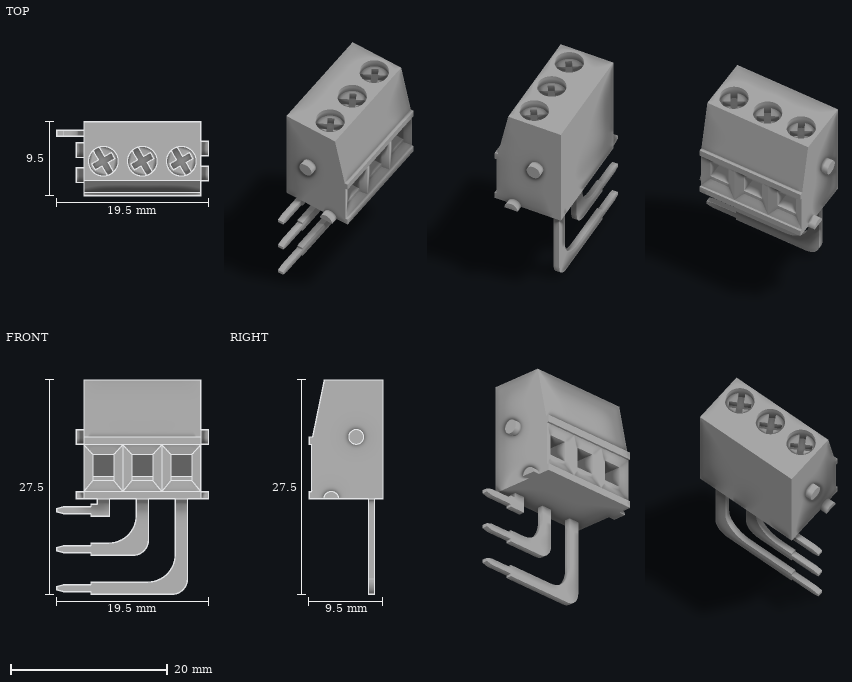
import cadquery as cq


pole_count = 3
pitch = 5.0
body_width = pole_count * pitch
body_height = 15.25
body_depth = 9.5
top_depth = 7.55
slope_foot_depth = 9.05
recess_depth = 9.2
lower_lip_top = 0.95
upper_lip_bottom = 6.95
upper_lip_top = 7.95

entry_width = 2.7
entry_bottom = 2.35
entry_top = 5.7
funnel_depth = 0.5
chamber_floor = 2.9
chamber_depth = 5.0

screw_diameter = 3.8
screw_center_depth = 5.07
screw_head_recess = 1.2
slot_width = 0.9
slot_depth = 1.0
cross_slot_length = 2.9
long_slot_angle = 120.0

peg_diameter = 1.9
peg_length = 1.0
upper_peg_height = 7.95
left_upper_peg_depth = 3.65
peg_depth_spacing = 3.2
right_peg_offset = 0.2

pin_thickness = 0.8
pin_center_depth = 1.48
pin_width = 1.6
pin_reach = 3.5
first_pin_height = -1.45
shoulder_inset = 0.9
tip_width = 0.9
tip_end_width = 0.45
tip_taper_length = 0.9
inner_bend_radius = 3.5
outer_bend_radius = 2.0

left_face = -body_width / 2
right_face = body_width / 2
pole_centers = [(i - (pole_count - 1) / 2) * pitch for i in range(pole_count)]


def make_housing():
    """Side profile with a sloping upper front and two lips, extruded over the full width."""
    profile = [
        (0, 0),
        (-body_depth, 0),
        (-body_depth, lower_lip_top),
        (-recess_depth, lower_lip_top),
        (-recess_depth, upper_lip_bottom),
        (-body_depth, upper_lip_bottom),
        (-body_depth, upper_lip_top),
        (-slope_foot_depth, upper_lip_top),
        (-top_depth, body_height),
        (0, body_height),
    ]
    side = cq.Workplane("YZ", origin=(left_face, 0, 0))
    return side.polyline(profile).close().extrude(body_width)


def front_plane(x, z, depth):
    """Workplane facing forward (-Y), centred at x and z, at a depth from the back face."""
    plane = cq.Plane(origin=(x, -depth, z), xDir=(1, 0, 0), normal=(0, -1, 0))
    return cq.Workplane(plane)


def make_wire_entry(x):
    """Tapered funnel leading to a chamber with a raised floor."""
    mouth_height = upper_lip_bottom - lower_lip_top
    mouth_z = (upper_lip_bottom + lower_lip_top) / 2
    entry_height = entry_top - entry_bottom
    entry_z = (entry_top + entry_bottom) / 2
    chamber_height = entry_top - chamber_floor
    chamber_z = (entry_top + chamber_floor) / 2
    chamber_start = recess_depth - funnel_depth

    funnel = (
        front_plane(x, mouth_z, recess_depth)
        .rect(pitch, mouth_height)
        .workplane(offset=-funnel_depth)
        .center(0, entry_z - mouth_z)
        .rect(entry_width, entry_height)
        .loft(ruled=True)
    )
    chamber_front = front_plane(x, chamber_z, chamber_start).rect(entry_width, chamber_height)
    chamber = chamber_front.extrude(-chamber_depth)
    return funnel.union(chamber)


def screw_plane(x):
    """Horizontal workplane on the top face of one screw head."""
    return cq.Workplane("XY", origin=(x, -screw_center_depth, body_height - screw_head_recess))


def make_screw_bore(x):
    """Round bore from the top face down to the screw head."""
    return screw_plane(x).circle(screw_diameter / 2).extrude(screw_head_recess)


def make_screw_slots(x):
    """Slot across the whole screw head, crossed by a shorter slot."""
    plane = screw_plane(x).transformed(rotate=(0, 0, long_slot_angle))
    head = plane.circle(screw_diameter / 2).extrude(-slot_depth)
    long_slot = plane.rect(2 * screw_diameter, slot_width).extrude(-slot_depth).intersect(head)
    cross_slot = plane.rect(slot_width, cross_slot_length).extrude(-slot_depth)
    return long_slot.union(cross_slot)


def make_pegs(start_x, upper_peg_depth):
    """A round upper peg and a half-round lower peg that is flush with the underside."""
    lower_peg_depth = upper_peg_depth + peg_depth_spacing
    side = cq.Workplane("YZ", origin=(start_x, 0, 0))
    radius = peg_diameter / 2
    upper = side.center(-upper_peg_depth, upper_peg_height).circle(radius).extrude(peg_length)
    lower = (
        side.moveTo(-lower_peg_depth - radius, 0)
        .threePointArc((-lower_peg_depth, radius), (-lower_peg_depth + radius, 0))
        .close()
        .extrude(peg_length)
    )
    return upper.union(lower)


def make_pin(index):
    """Flat right-angle pin with a shouldered, tapered tip; all but the first have a rounded bend."""
    z = first_pin_height - index * pitch
    inner_x = pole_centers[index] - pin_width / 2
    outer_x = pole_centers[index] + pin_width / 2
    top_z = z + pin_width / 2
    bottom_z = z - pin_width / 2
    shoulder_x = left_face + shoulder_inset
    tip_x = left_face - pin_reach
    taper_x = tip_x + tip_taper_length
    outline = [
        (inner_x, 0),
        (inner_x, top_z),
        (shoulder_x, top_z),
        (shoulder_x, z + tip_width / 2),
        (taper_x, z + tip_width / 2),
        (tip_x, z + tip_end_width / 2),
        (tip_x, z - tip_end_width / 2),
        (taper_x, z - tip_width / 2),
        (shoulder_x, z - tip_width / 2),
        (shoulder_x, bottom_z),
        (outer_x, bottom_z),
        (outer_x, 0),
    ]
    front_depth = pin_center_depth + pin_thickness / 2
    pin = front_plane(0, 0, front_depth).polyline(outline).close().extrude(-pin_thickness)
    if index > 0:
        corner_y = -pin_center_depth
        inner_corner = cq.selectors.NearestToPointSelector((inner_x, corner_y, top_z))
        pin = pin.edges("|Y").edges(inner_corner).fillet(inner_bend_radius)
        outer_corner = cq.selectors.NearestToPointSelector((outer_x, corner_y, bottom_z))
        pin = pin.edges("|Y").edges(outer_corner).fillet(outer_bend_radius)
    return pin


result = make_housing()
for center_x in pole_centers:
    result = result.cut(make_wire_entry(center_x))
    result = result.cut(make_screw_bore(center_x))
    result = result.cut(make_screw_slots(center_x))

result = result.union(make_pegs(left_face - peg_length, left_upper_peg_depth))
result = result.union(make_pegs(right_face, left_upper_peg_depth - right_peg_offset))

for pin_index in range(pole_count):
    result = result.union(make_pin(pin_index))